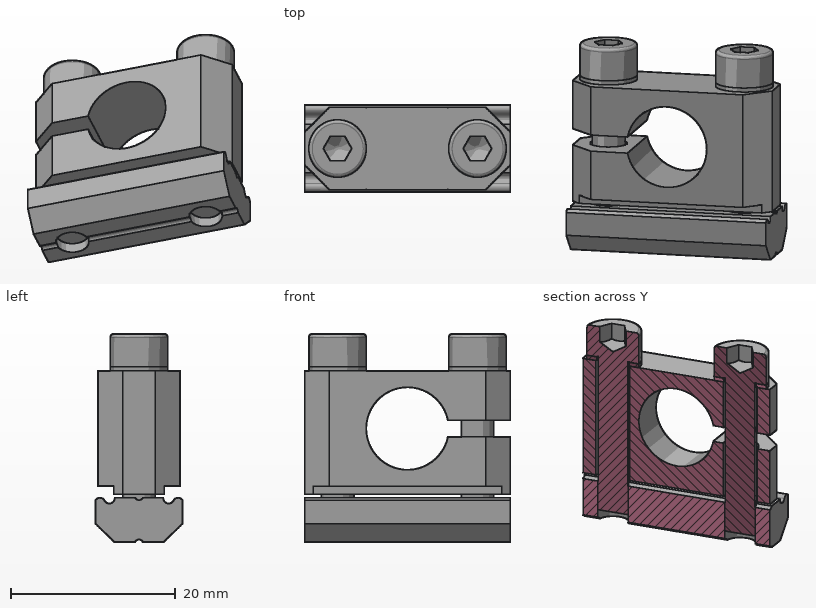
import cadquery as cq
import math

length = 25.0
screw_offset = 8.5
screw_places = [(-screw_offset, 0), (screw_offset, 0)]

nut_width = 10.6
nut_height = 5.4
nut_base_width = 6.0
nut_bevel_height = 2.25
groove_depth = 0.7
groove_deepest_y = 3.65
groove_inner_y = 2.97
crest_drop = 0.32
crest_half_width = 0.55
notch_radius = 0.5
notch_depth = 0.3

clamp_gap = 0.4
clamp_width = 10.0
clamp_height = 15.0
clamp_corner = 3.0
foot_width = 6.15
foot_height = 1.0
bore_diameter = 10.0
bore_height = 8.0
slit_width = 2.0
clearance_diameter = 4.5

washer_diameter = 7.0
washer_bore = 4.3
washer_thickness = 0.5

screw_diameter = 4.0
screw_length = 20.0
head_diameter = 7.0
head_height = 4.0
head_round = 0.4
socket_across_flats = 3.0
socket_depth = 2.0
socket_tip_angle = 120.0

clamp_bottom = nut_height + clamp_gap
clamp_top = clamp_bottom + clamp_height
bore_z = clamp_bottom + bore_height
head_seat = clamp_top + washer_thickness
screw_tip = head_seat - screw_length


def make_nut():
    """Bar with bevelled underside, two rounded grooves with round lips, and two round centre notches."""
    half_width = nut_width / 2
    half_base = nut_base_width / 2
    crest_z = nut_height - crest_drop
    crest_inner_y = half_width - 2 * crest_half_width
    groove_bottom = nut_height - groove_depth

    half_profile = (
        cq.Workplane("YZ")
        .workplane(offset=-length / 2)
        .moveTo(0, 0)
        .lineTo(half_base, 0)
        .lineTo(half_width, nut_bevel_height)
        .lineTo(half_width, crest_z)
        .threePointArc((half_width - crest_half_width, nut_height), (crest_inner_y, crest_z))
        .threePointArc((groove_deepest_y, groove_bottom), (groove_inner_y, nut_height))
        .lineTo(0, nut_height)
        .close()
    )
    half_bar = half_profile.extrude(length)
    bar = half_bar.union(half_bar.mirror("XZ"))
    notch_axis_offset = notch_radius - notch_depth
    notches = (
        cq.Workplane("YZ")
        .pushPoints([(0, -notch_axis_offset), (0, nut_height + notch_axis_offset)])
        .circle(notch_radius)
        .extrude(length / 2, both=True)
    )
    screw_holes = cq.Workplane("XY").pushPoints(screw_places).circle(screw_diameter / 2).extrude(nut_height)
    return bar.cut(notches).cut(screw_holes)


def make_clamp():
    """Block with cut corners and a narrow foot, bored along Y and slit open toward +X."""
    block = (
        cq.Workplane("XY", origin=(0, 0, clamp_bottom))
        .rect(length, clamp_width)
        .extrude(clamp_height)
        .edges("|Z")
        .chamfer(clamp_corner)
    )
    foot_zone = cq.Workplane("XY", origin=(0, 0, clamp_bottom)).rect(length, clamp_width).extrude(foot_height)
    foot = cq.Workplane("XY", origin=(0, 0, clamp_bottom)).rect(length, foot_width).extrude(foot_height)
    bore = (
        cq.Workplane("XZ", origin=(0, 0, bore_z))
        .circle(bore_diameter / 2)
        .extrude(clamp_width / 2, both=True)
    )
    slit = cq.Workplane("XY").box(length / 2, clamp_width, slit_width).translate((length / 4, 0, bore_z))
    clearance_holes = (
        cq.Workplane("XY", origin=(0, 0, clamp_bottom))
        .pushPoints(screw_places)
        .circle(clearance_diameter / 2)
        .extrude(clamp_height)
    )
    return block.cut(foot_zone.cut(foot)).cut(bore).cut(slit).cut(clearance_holes)


def make_washer(place):
    """Flat ring between the clamp and a screw head."""
    return (
        cq.Workplane("XY", origin=(*place, clamp_top))
        .circle(washer_diameter / 2)
        .circle(washer_bore / 2)
        .extrude(washer_thickness)
    )


def make_socket():
    """Hexagonal recess with a conical bottom, its mouth at Z = 0 and its depth toward -Z."""
    corner_radius = socket_across_flats / math.sqrt(3)
    tip_height = corner_radius / math.tan(math.radians(socket_tip_angle / 2))
    full_depth = socket_depth + tip_height
    hexagon = cq.Workplane("XY").polygon(6, 2 * corner_radius).extrude(-full_depth)
    drill = (
        cq.Workplane("XZ")
        .lineTo(corner_radius, 0)
        .lineTo(corner_radius, -socket_depth)
        .lineTo(0, -full_depth)
        .close()
        .revolve(360, (0, 0), (0, 1))
    )
    return hexagon.intersect(drill)


def make_screw(place):
    """Plain shank and a cylindrical head with a rounded top edge and a hexagonal socket."""
    head = (
        cq.Workplane("XY", origin=(*place, head_seat))
        .circle(head_diameter / 2)
        .extrude(head_height)
        .faces(">Z")
        .edges()
        .fillet(head_round)
    )
    shank = cq.Workplane("XY", origin=(*place, screw_tip)).circle(screw_diameter / 2).extrude(screw_length)
    socket = make_socket().translate((*place, head_seat + head_height))
    return head.union(shank).cut(socket)


nut = make_nut()
clamp = make_clamp()
washers = [make_washer(place) for place in screw_places]
screws = [make_screw(place) for place in screw_places]

result = cq.Compound.makeCompound(
    [
        nut.val(),
        clamp.val(),
        *[washer.val() for washer in washers],
        *[screw.val() for screw in screws],
    ]
)